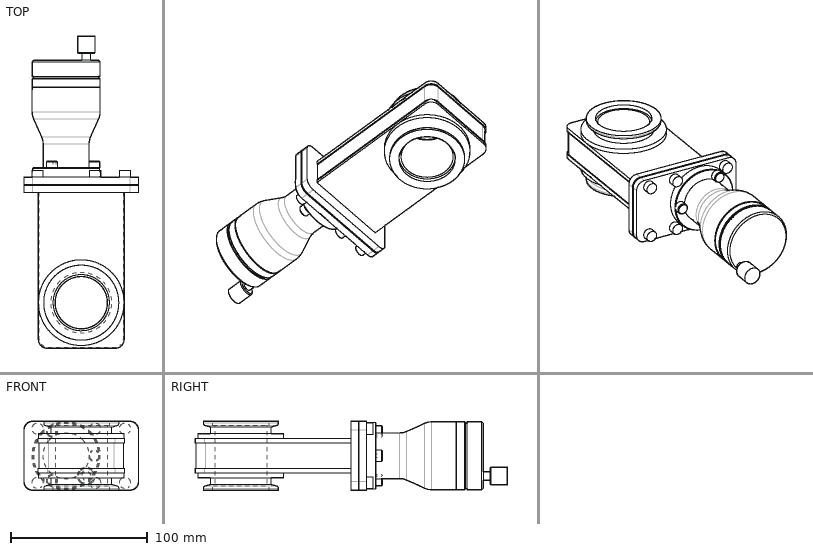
import math

import cadquery as cq


BODY_WIDTH = 63.0
BODY_HEIGHT = 25.4
BODY_FRONT_Y = -33.5
LID_CORNER_RADIUS = 6.7
CORE_CORNER_RADIUS = 7.0
LID_THICKNESS = 3.4
CORE_INSET = 0.6

BORE_DIAMETER = 38.1
RECESS_DIAMETER = 41.2
RECESS_DEPTH = 3.0
RING_DIAMETER = 62.8
RING_THICKNESS = 3.5
NECK_DIAMETER = 44.5
FLANGE_DIAMETER = 55.0
FLANGE_TOP_Z = 25.3
FLANGE_RIM_THICKNESS = 2.9
FLANGE_TAPER_ANGLE = 15.0
FLANGE_EDGE_RADIUS = 1.9

PLATE_WIDTH = 84.12
PLATE_HEIGHT = 50.67
PLATE_THICKNESS = 5.4
PLATE_GAP = 0.65
PLATE_GAP_INSET = 0.25
PLATE_CORNER_RADIUS = 6.5
BONNET_THICKNESS = 2 * PLATE_THICKNESS + PLATE_GAP
BONNET_FRONT_Y = 80.55
BONNET_BACK_Y = BONNET_FRONT_Y + BONNET_THICKNESS

SCREW_DIAMETER = 8.2
SCREW_HEIGHT = 4.8
PLATE_SCREW_XS = (-32.0, 10.2, 32.0)
PLATE_SCREW_Z = 19.8
COLLAR_SCREW_COUNT = 3
COLLAR_SCREW_CIRCLE_RADIUS = 20.7
COLLAR_SCREW_CHAMFER = 0.6

ACTUATOR_X = -11.1
COLLAR_DIAMETER = 49.0
COLLAR_LENGTH = 6.9
COLLAR_CHAMFER = 0.5
STEM_DIAMETER = 33.7
STEM_END = 26.9
BLEND_RADIUS = 12.5
HOUSING_DIAMETER = 50.0
CONE_END = 45.0
CONE_SEARCH_REACH = CONE_END - STEM_END
SEAM_POSITION = 65.6
SEAM_WIDTH = 0.4
SEAM_DEPTH = 0.4
GROOVE_POSITION = 72.4
GROOVE_WIDTH = 1.3
GROOVE_DEPTH = 1.0
GROOVE_CHAMFER = 0.5
CAP_END = 85.6
CAP_CHAMFER = 1.3

KNOB_OFFSET = 14.8
KNOB_DIAMETER = 12.9
KNOB_LENGTH = 12.83
KNOB_CHAMFER = 0.8
KNOB_STEM_DIAMETER = 6.4
KNOB_STEM_LENGTH = 4.7


def rod_along_y(x, z, start_y, diameter, length):
    """Cylinder running from start_y towards +Y."""
    return cq.Workplane("XZ", origin=(x, start_y, z)).circle(diameter / 2).extrude(-length)


def slab_along_y(start_y, thickness, inset=0.0):
    """Bonnet plate with rounded corners, optionally smaller all round."""
    return (
        cq.Workplane("XZ", origin=(0, start_y, 0))
        .rect(PLATE_WIDTH - 2 * inset, PLATE_HEIGHT - 2 * inset)
        .extrude(-thickness)
        .edges("|Y")
        .fillet(PLATE_CORNER_RADIUS - inset)
    )


def body_layer(height, inset, corner_radius):
    """Body slab centred on Z = 0 with its two front corners rounded."""
    front_y = BODY_FRONT_Y + inset
    length = BONNET_FRONT_Y - front_y
    return (
        cq.Workplane("XY")
        .box(BODY_WIDTH - 2 * inset, length, height)
        .translate((0, front_y + length / 2, 0))
        .edges("|Z and <Y")
        .fillet(corner_radius)
    )


def make_body():
    """Two full-size lids with a slightly smaller core between them."""
    core_height = BODY_HEIGHT - 2 * LID_THICKNESS
    core = body_layer(core_height, CORE_INSET, CORE_CORNER_RADIUS)
    lid_pair = body_layer(BODY_HEIGHT, 0.0, LID_CORNER_RADIUS).cut(
        cq.Workplane("XY").box(2 * BODY_WIDTH, 2 * BONNET_BACK_Y, core_height)
    )
    return lid_pair.union(core)


def make_upper_port():
    """Seat ring, neck and clamp flange with a tapered, rounded underside."""
    ring_bottom_z = BODY_HEIGHT / 2
    ring_top_z = ring_bottom_z + RING_THICKNESS
    rim_bottom_z = FLANGE_TOP_Z - FLANGE_RIM_THICKNESS
    flange_radius = FLANGE_DIAMETER / 2
    neck_radius = NECK_DIAMETER / 2
    taper_height = (flange_radius - neck_radius) * math.tan(math.radians(FLANGE_TAPER_ANGLE))
    profile = [
        (0, ring_bottom_z),
        (RING_DIAMETER / 2, ring_bottom_z),
        (RING_DIAMETER / 2, ring_top_z),
        (neck_radius, ring_top_z),
        (neck_radius, rim_bottom_z - taper_height),
        (flange_radius, rim_bottom_z),
        (flange_radius, FLANGE_TOP_Z),
        (0, FLANGE_TOP_Z),
    ]
    port = cq.Workplane("XZ").polyline(profile).close().revolve(360, (0, 0), (0, 1))
    rim_bottom_edge = cq.selectors.NearestToPointSelector((flange_radius, 0, rim_bottom_z))
    port = port.edges("%CIRCLE").edges(rim_bottom_edge).fillet(FLANGE_EDGE_RADIUS)
    return port


def make_bore():
    """Through passage with a centring-ring recess at both ends."""
    bore = cq.Workplane("XY").circle(BORE_DIAMETER / 2).extrude(FLANGE_TOP_Z, both=True)
    recess = (
        cq.Workplane("XY", origin=(0, 0, FLANGE_TOP_Z - RECESS_DEPTH))
        .circle(RECESS_DIAMETER / 2)
        .extrude(RECESS_DEPTH)
    )
    return bore.union(recess).union(recess.mirror("XY"))


def make_bonnet():
    """Two plates with a shallow gap line between them, and their screw heads."""
    front = slab_along_y(BONNET_FRONT_Y, PLATE_THICKNESS)
    gap = slab_along_y(BONNET_FRONT_Y + PLATE_THICKNESS, PLATE_GAP, PLATE_GAP_INSET)
    back = slab_along_y(BONNET_BACK_Y - PLATE_THICKNESS, PLATE_THICKNESS)
    bonnet = front.union(gap).union(back)
    for x in PLATE_SCREW_XS:
        for z in (-PLATE_SCREW_Z, PLATE_SCREW_Z):
            bonnet = bonnet.union(rod_along_y(x, z, BONNET_BACK_Y, SCREW_DIAMETER, SCREW_HEIGHT))
    return bonnet


def make_actuator():
    """Collar, stem, blended cone, housing and end cap as one turned shape."""
    collar_r = COLLAR_DIAMETER / 2
    stem_r = STEM_DIAMETER / 2
    housing_r = HOUSING_DIAMETER / 2
    profile = [
        (0, 0),
        (collar_r, 0),
        (collar_r, COLLAR_LENGTH - COLLAR_CHAMFER),
        (collar_r - COLLAR_CHAMFER, COLLAR_LENGTH),
        (stem_r, COLLAR_LENGTH),
        (stem_r, STEM_END),
        (housing_r, CONE_END),
        (housing_r, SEAM_POSITION),
        (housing_r - SEAM_DEPTH, SEAM_POSITION),
        (housing_r - SEAM_DEPTH, SEAM_POSITION + SEAM_WIDTH),
        (housing_r, SEAM_POSITION + SEAM_WIDTH),
        (housing_r, GROOVE_POSITION - GROOVE_CHAMFER),
        (housing_r - GROOVE_CHAMFER, GROOVE_POSITION),
        (housing_r - GROOVE_DEPTH, GROOVE_POSITION),
        (housing_r - GROOVE_DEPTH, GROOVE_POSITION + GROOVE_WIDTH),
        (housing_r, GROOVE_POSITION + GROOVE_WIDTH),
        (housing_r, CAP_END - CAP_CHAMFER),
        (housing_r - CAP_CHAMFER, CAP_END),
        (0, CAP_END),
    ]
    turned = cq.Workplane("XY").polyline(profile).close().revolve(360, (0, 0), (0, 1))
    middle = (STEM_END + CONE_END) / 2
    cone_ends = cq.selectors.BoxSelector(
        (-HOUSING_DIAMETER, middle - CONE_SEARCH_REACH, -HOUSING_DIAMETER),
        (HOUSING_DIAMETER, middle + CONE_SEARCH_REACH, HOUSING_DIAMETER),
    )
    turned = turned.edges("%CIRCLE").edges(cone_ends).fillet(BLEND_RADIUS)
    return turned.translate((ACTUATOR_X, BONNET_BACK_Y, 0))


def make_collar_screws():
    """Evenly spaced chamfered screw heads on the collar face."""
    screws = cq.Workplane("XY")
    seat_y = BONNET_BACK_Y + COLLAR_LENGTH
    for index in range(COLLAR_SCREW_COUNT):
        angle = 2 * math.pi * index / COLLAR_SCREW_COUNT
        x = ACTUATOR_X + COLLAR_SCREW_CIRCLE_RADIUS * math.cos(angle)
        z = COLLAR_SCREW_CIRCLE_RADIUS * math.sin(angle)
        head = rod_along_y(x, z, seat_y, SCREW_DIAMETER, SCREW_HEIGHT)
        screws = screws.union(head.faces(">Y").edges().chamfer(COLLAR_SCREW_CHAMFER))
    return screws


def make_knob():
    """Off-centre knob standing on a short stem on the end cap."""
    x = ACTUATOR_X + KNOB_OFFSET
    z = -KNOB_OFFSET
    stem_y = BONNET_BACK_Y + CAP_END
    stem = rod_along_y(x, z, stem_y, KNOB_STEM_DIAMETER, KNOB_STEM_LENGTH)
    grip = rod_along_y(x, z, stem_y + KNOB_STEM_LENGTH, KNOB_DIAMETER, KNOB_LENGTH)
    return stem.union(grip.faces("<Y").edges().chamfer(KNOB_CHAMFER))


upper_port = make_upper_port()
result = (
    make_body()
    .union(upper_port)
    .union(upper_port.mirror("XY"))
    .cut(make_bore())
    .union(make_bonnet())
    .union(make_actuator())
    .union(make_collar_screws())
    .union(make_knob())
)